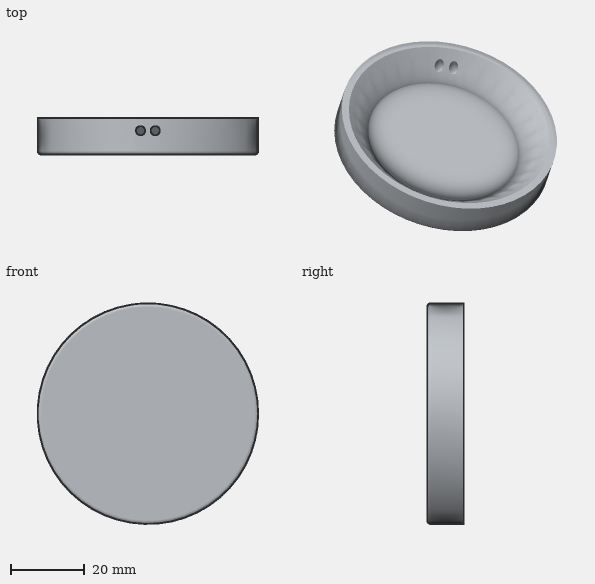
import cadquery as cq

disc_diameter = 60.0
disc_thickness = 10.0
front_fillet = 1.0

back_rim_width = 2.0
front_plate_thickness = 3.0
recess_wall_angle = 45.0

hole_diameter = 2.5
hole_spacing = 4.0
hole_from_back = 3.5

disc_radius = disc_diameter / 2
back_y = disc_thickness / 2
recess_mouth_radius = disc_radius - back_rim_width
recess_depth = disc_thickness - front_plate_thickness
hole_y = back_y - hole_from_back


def make_disc():
    """Solid disc with the front (-Y) rim edge rounded."""
    disc = cq.Workplane("XZ").circle(disc_radius).extrude(disc_thickness / 2, both=True)
    return disc.faces("<Y").edges().fillet(front_fillet)


def make_recess():
    """Truncated cone reaching from the back face to the front plate."""
    return (
        cq.Workplane("XZ", origin=(0, back_y, 0))
        .circle(recess_mouth_radius)
        .extrude(recess_depth, taper=recess_wall_angle)
    )


def make_rim_holes():
    """Two cylinders rising from the disc axis out through the top of the rim."""
    return (
        cq.Workplane("XY", origin=(0, hole_y, 0))
        .rarray(hole_spacing, 1, 2, 1)
        .circle(hole_diameter / 2)
        .extrude(disc_radius)
    )


result = make_disc().cut(make_recess()).cut(make_rim_holes())